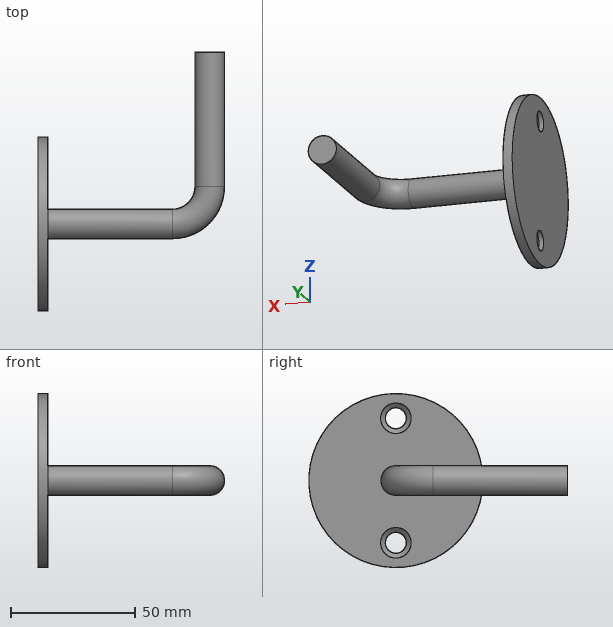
import cadquery as cq
import math

overall_length = 104.0
overall_depth = 75.0
plate_diameter = 70.0
plate_thickness = 4.0
rod_diameter = 12.0
bend_radius = 15.0
hole_diameter = 8.3
hole_spacing = 50.0
countersink_depth = 2.0
countersink_angle = 90.0

rod_end_y = overall_length - plate_diameter / 2
arm_x = overall_depth - rod_diameter / 2
bend_start_x = arm_x - bend_radius
countersink_diameter = hole_diameter + 2 * countersink_depth * math.tan(math.radians(countersink_angle / 2))


def make_plate():
    """Round wall plate with two screw holes, one above the other, countersunk on the rod side."""
    return (
        cq.Workplane("YZ")
        .circle(plate_diameter / 2)
        .extrude(plate_thickness)
        .faces(">X")
        .workplane(origin=(plate_thickness, 0, 0))
        .pushPoints([(0, -hole_spacing / 2), (0, hole_spacing / 2)])
        .cskHole(hole_diameter, countersink_diameter, countersink_angle)
    )


def make_rod():
    """Round rod leaving the plate along X and bending a quarter turn to +Y."""
    centreline = (
        cq.Workplane("XY")
        .moveTo(plate_thickness, 0)
        .lineTo(bend_start_x, 0)
        .tangentArcPoint((arm_x, bend_radius), relative=False)
        .lineTo(arm_x, rod_end_y)
    )
    section = cq.Workplane("YZ", origin=(plate_thickness, 0, 0)).circle(rod_diameter / 2)
    return section.sweep(centreline)


result = make_plate().union(make_rod())